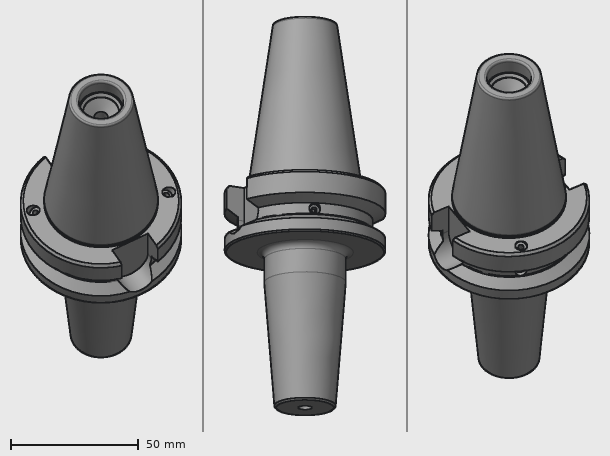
import cadquery as cq
import math

total_length = 155.4

gauge_radius = 22.2
gauge_height = 90.0
taper_per_length = 7 / 24
shank_tip_fillet = 0.8
collar_radius = 22.4
collar_top = 88.7
collar_cone_top = 89.2

flange_radius = 63.0 / 2
flange_top = 88.1
flange_bottom = 63.1
flange_top_chamfer = 1.1
flange_bottom_chamfer = 0.6
groove_radius = 26.5
groove_top_outer = 78.6
groove_bottom_outer = 68.4
groove_flank_angle = 30.0
groove_fillet = 0.5

neck_radius = 16.0
neck_fillet = 2.8
neck_bottom = 50.8
nose_radius = 24.1 / 2
nose_chamfer = 0.8

counterbore_radius = 8.7
counterbore_mouth_fillet = 1.0
counterbore_depth = 6.7
thread_lead_radius = 8.2
thread_lead_bottom_depth = 7.8
thread_radius = 7.0
thread_bottom_depth = 8.1
drill_point_angle = 100.0
through_radius = 5.5 / 2

slot_half_width = 8.1
slot_floor_radius = 22.7
slot_bottom = 66.7

coolant_azimuths = (69.5, 249.5)
coolant_entry_radius = 26.9
coolant_tilt = 25.0
inclined_hole_radius = 2.3
cross_hole_radius = 2.2
coolant_plug_depth = 1.9
coolant_inner_radius = 1.1
cross_hole_height = (groove_top_outer + groove_bottom_outer) / 2
coolant_drop = flange_top - cross_hole_height
coolant_end_radius = coolant_entry_radius - coolant_drop * math.tan(math.radians(coolant_tilt))

QUARTER_ARC_MIDDLE = math.sqrt(0.5)


def make_body():
    """Revolve the outer outline: nose, neck, flange and taper shank."""
    shank_tip_radius = gauge_radius - (total_length - gauge_height) * taper_per_length / 2
    flank_rise = (flange_radius - groove_radius) * math.tan(math.radians(groove_flank_angle))
    groove_top_inner = groove_top_outer - flank_rise
    groove_bottom_inner = groove_bottom_outer + flank_rise

    fillet_turn = math.radians(90 - groove_flank_angle)
    fillet_tangent = groove_fillet * math.tan(fillet_turn / 2)
    flank_radius = groove_radius + fillet_tangent * math.sin(fillet_turn)
    flank_height = groove_bottom_inner - fillet_tangent * math.cos(fillet_turn)
    floor_height = groove_bottom_inner + fillet_tangent
    groove_fillet_middle = (
        groove_radius + groove_fillet * (1 - math.cos(fillet_turn / 2)),
        floor_height - groove_fillet * math.sin(fillet_turn / 2),
    )

    neck_fillet_middle = (
        neck_radius + neck_fillet * (1 - QUARTER_ARC_MIDDLE),
        flange_bottom - neck_fillet * (1 - QUARTER_ARC_MIDDLE),
    )
    tip_fillet_middle = (
        shank_tip_radius - shank_tip_fillet * (1 - QUARTER_ARC_MIDDLE),
        total_length - shank_tip_fillet * (1 - QUARTER_ARC_MIDDLE),
    )
    outline = (
        cq.Workplane("XZ")
        .moveTo(0, 0)
        .lineTo(nose_radius - nose_chamfer, 0)
        .lineTo(nose_radius, nose_chamfer)
        .lineTo(neck_radius, neck_bottom)
        .lineTo(neck_radius, flange_bottom - neck_fillet)
        .threePointArc(neck_fillet_middle, (neck_radius + neck_fillet, flange_bottom))
        .lineTo(flange_radius - flange_bottom_chamfer, flange_bottom)
        .lineTo(flange_radius, flange_bottom + flange_bottom_chamfer)
        .lineTo(flange_radius, groove_bottom_outer)
        .lineTo(flank_radius, flank_height)
        .threePointArc(groove_fillet_middle, (groove_radius, floor_height))
        .lineTo(groove_radius, groove_top_inner)
        .lineTo(flange_radius, groove_top_outer)
        .lineTo(flange_radius, flange_top - flange_top_chamfer)
        .lineTo(flange_radius - flange_top_chamfer, flange_top)
        .lineTo(collar_radius, flange_top)
        .lineTo(collar_radius, collar_top)
        .lineTo(gauge_radius, collar_cone_top)
        .lineTo(gauge_radius, gauge_height)
        .lineTo(shank_tip_radius, total_length - shank_tip_fillet)
        .threePointArc(tip_fillet_middle, (shank_tip_radius - shank_tip_fillet, total_length))
        .lineTo(0, total_length)
        .close()
    )
    return outline.revolve(360, (0, 0, 0), (0, 1, 0))


def make_bore():
    """Stepped bore with a rounded mouth and a drill-point cone down to the through hole."""
    cone_depth = (thread_radius - through_radius) / math.tan(math.radians(drill_point_angle / 2))
    cone_top = total_length - thread_bottom_depth
    mouth_fillet_middle = (
        counterbore_radius + counterbore_mouth_fillet * (1 - QUARTER_ARC_MIDDLE),
        total_length - counterbore_mouth_fillet * (1 - QUARTER_ARC_MIDDLE),
    )
    outline = (
        cq.Workplane("XZ")
        .moveTo(0, 0)
        .lineTo(through_radius, 0)
        .lineTo(through_radius, cone_top - cone_depth)
        .lineTo(thread_radius, cone_top)
        .lineTo(thread_radius, total_length - thread_lead_bottom_depth)
        .lineTo(thread_lead_radius, total_length - counterbore_depth)
        .lineTo(counterbore_radius, total_length - counterbore_depth)
        .lineTo(counterbore_radius, total_length - counterbore_mouth_fillet)
        .threePointArc(mouth_fillet_middle, (counterbore_radius + counterbore_mouth_fillet, total_length))
        .lineTo(0, total_length)
        .close()
    )
    return outline.revolve(360, (0, 0, 0), (0, 1, 0))


def make_drive_slot(side):
    """Round-bottomed slot open towards the +X (side = 1) or -X (side = -1) rim."""
    arc_center_height = slot_bottom + slot_half_width
    return (
        cq.Workplane("YZ", origin=(side * slot_floor_radius, 0, 0))
        .moveTo(-slot_half_width, flange_top)
        .lineTo(-slot_half_width, arc_center_height)
        .threePointArc((0, slot_bottom), (slot_half_width, arc_center_height))
        .lineTo(slot_half_width, flange_top)
        .close()
        .extrude(side * flange_radius)
    )


def make_stepped_hole(mouth, end, mouth_radius):
    """Round hole from mouth to end, wider over the plug depth and just outside the mouth."""
    axis = (end - mouth).normalized()
    start = mouth - axis * mouth_radius
    wide = cq.Solid.makeCylinder(mouth_radius, mouth_radius + coolant_plug_depth, start, axis)
    narrow = cq.Solid.makeCylinder(coolant_inner_radius, (end - mouth).Length, mouth, axis)
    return cq.Workplane(wide.fuse(narrow))


def make_coolant_passage(azimuth):
    """Inclined hole from the flange face meeting a radial hole from the groove."""
    angle = math.radians(azimuth)
    outward = cq.Vector(math.cos(angle), math.sin(angle), 0)
    meeting_point = outward * coolant_end_radius + cq.Vector(0, 0, cross_hole_height)
    face_mouth = outward * coolant_entry_radius + cq.Vector(0, 0, flange_top)
    groove_mouth = outward * groove_radius + cq.Vector(0, 0, cross_hole_height)
    inclined_hole = make_stepped_hole(face_mouth, meeting_point, inclined_hole_radius)
    cross_hole = make_stepped_hole(groove_mouth, meeting_point, cross_hole_radius)
    return inclined_hole.union(cross_hole)


result = make_body().cut(make_bore())
for slot_side in (1, -1):
    result = result.cut(make_drive_slot(slot_side))
for coolant_azimuth in coolant_azimuths:
    result = result.cut(make_coolant_passage(coolant_azimuth))